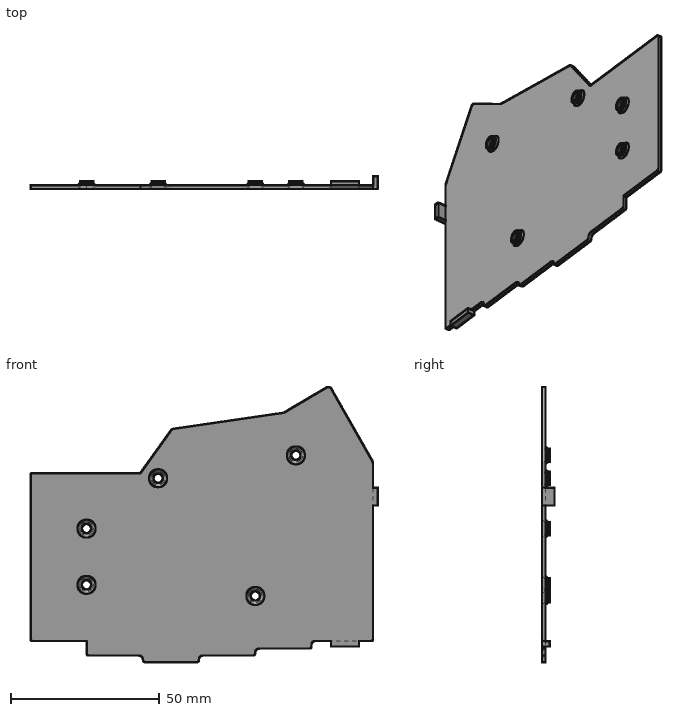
import cadquery as cq
import math

overall_length = 117.0
overall_depth = 4.3
overall_height = 92.8
plate_thickness = 1.3

plate_right = 115.4
shoulder_height = 63.8
right_edge_top = 67.5
shoulder_end_x = 37.0
roof_start = (47.6, 78.7)
roof_end = (85.3, 84.2)

peak_radius = 1.2
peak_x = 100.8
peak_axis_tilt = 15.0
peak_round_loss = peak_radius * (math.sqrt(2) * math.cos(math.radians(peak_axis_tilt)) - 1)
peak_z = overall_height + peak_round_loss

lower_edge = 7.1
step_pitch = 19.0
first_step_x = 18.8
step_levels = [2.2, 0.0, 2.2, 4.6, lower_edge]
step_outer_radius = 0.8
step_inner_radius = 1.3
corner_radius = 0.6
roof_radius = 1.2

seat_centers = [(18.8, 26.1), (18.8, 45.1), (43.0, 62.0), (75.7, 22.4), (89.4, 69.8)]
hole_diameter = 3.0
seat_diameter = 6.1
seat_depth = (seat_diameter - hole_diameter) / 2
boss_diameter = 4.6
boss_top = 2.7
boss_cone_top = 2.0
boss_base_diameter = 5.7

tab_bend_radius = 0.4
side_tab_bottom = 52.8
side_tab_width = 6.1
lower_tab_left = 101.2
lower_tab_length = 9.5
lower_tab_bottom = 5.3


def make_plate():
    points = [(0, lower_edge), (first_step_x, lower_edge)]
    radii = [corner_radius, 0]
    previous_level = lower_edge
    for index, level in enumerate(step_levels):
        x = first_step_x + index * step_pitch
        if index == 0:
            points.append((x, level))
            radii.append(step_outer_radius)
        else:
            points += [(x, previous_level), (x, level)]
            if level < previous_level:
                radii += [step_inner_radius, step_outer_radius]
            else:
                radii += [step_outer_radius, step_inner_radius]
        previous_level = level
    points += [
        (plate_right, lower_edge),
        (plate_right, right_edge_top),
        (peak_x, peak_z),
        roof_end,
        roof_start,
        (shoulder_end_x, shoulder_height),
        (0, shoulder_height),
    ]
    radii += [corner_radius, roof_radius, peak_radius, roof_radius, roof_radius, 0, corner_radius]

    plate = cq.Workplane("XZ").polyline(points).close().extrude(-plate_thickness)
    for (x, z), radius in zip(points, radii):
        if radius:
            corner = cq.selectors.NearestToPointSelector((x, plate_thickness / 2, z))
            plate = plate.edges("|Y").edges(corner).fillet(radius)
    return plate


def revolve_at(profile, center):
    """Turn a (radius, Y) profile about a Y axis through the given X, Z center."""
    x, z = center
    solid = cq.Workplane("XY").polyline(profile).close().revolve(360, (0, 0), (0, 1))
    return solid.translate((x, 0, z))


def box_between(low, high):
    size = [b - a for a, b in zip(low, high)]
    return cq.Workplane("XY").box(*size, centered=False).translate(low)


boss_profile = [
    (0, plate_thickness / 2),
    (boss_base_diameter / 2, plate_thickness / 2),
    (boss_base_diameter / 2, plate_thickness),
    (boss_diameter / 2, boss_cone_top),
    (boss_diameter / 2, boss_top),
    (0, boss_top),
]
seat_profile = [
    (0, 0),
    (seat_diameter / 2, 0),
    (hole_diameter / 2, seat_depth),
    (hole_diameter / 2, boss_top),
    (0, boss_top),
]

result = make_plate()
for center in seat_centers:
    result = result.union(revolve_at(boss_profile, center))
    result = result.cut(revolve_at(seat_profile, center))

side_tab = box_between(
    (plate_right, 0, side_tab_bottom),
    (overall_length, overall_depth, side_tab_bottom + side_tab_width),
)
lower_tab = box_between(
    (lower_tab_left, 0, lower_tab_bottom),
    (lower_tab_left + lower_tab_length, boss_top, lower_edge),
)
side_tab = side_tab.edges(">X and <Y").fillet(tab_bend_radius)
lower_tab = lower_tab.edges("<Z and <Y").fillet(tab_bend_radius)
result = result.union(side_tab).union(lower_tab)